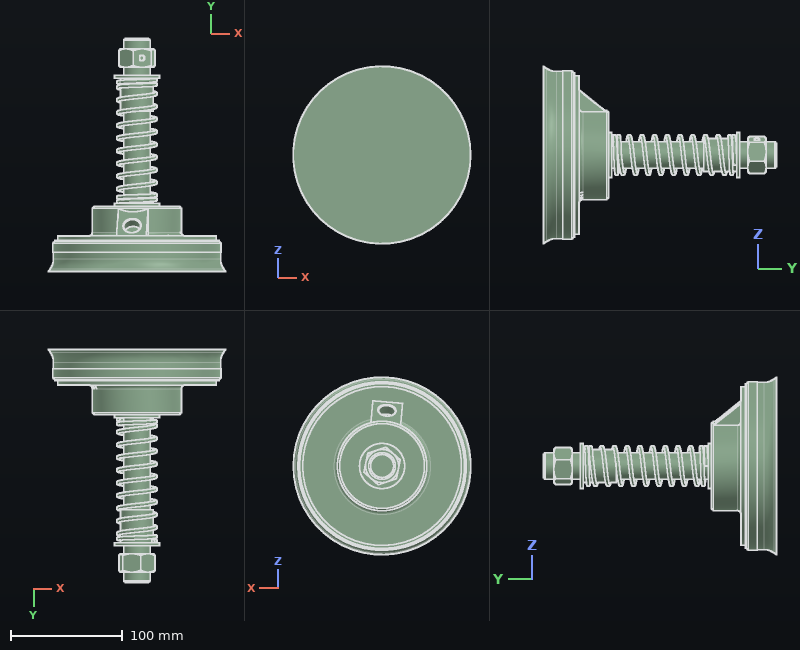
import cadquery as cq
import math


lip_radius = 79.5
lip_edge_radius = 77.8
lip_edge_height = 2.5
waist_radius = 150.0 / 2
waist_start = 11.7
rim_radius = 150.8 / 2
rim_start = 17.3
rim_end = 25.5
disc_top = 28.0
rim_chamfer = 1.7
plate_radius = 142.0 / 2
plate_top = 32.0

hub_radius = 80.0 / 2
hub_top = 58.5
hub_chamfer = 2.0
hub_fillet = 3.1

port_turn = 5
boss_width = 26.7
boss_foot_reach = 57.3
boss_edge_height = 56.3
boss_edge_reach = math.sqrt(hub_radius**2 - (boss_width / 2) ** 2)
port_height = 41.0
port_diameter = 15.0
port_mouth_diameter = 16.3
port_depth = 10.5

stem_radius = 24.0 / 2
stem_top = 208.5
stem_chamfer = 1.7
washer_radius = 40.5 / 2
washer_thickness = 2.7
lower_washer_top = hub_top + washer_thickness
upper_washer_bottom = 172.9
sleeve_radius = 29.6 / 2
sleeve_bottom = 143.2

nut_flats = 29.6
nut_corner_radius = nut_flats / math.sqrt(3)
nut_bottom = 182.7
nut_height = 16.5
nut_face_angle = -71.5
nut_chamfer_slope = math.tan(math.radians(35))
nut_hole_diameter = 5.0

spring_radius = 16.7
wire_radius = 1.56
active_turns = 8.6
lower_end_turns = 1.5
upper_end_turns = 1.5
end_pitch = 3.8
end_overlap = 0.2
points_per_turn = 12
spring_bottom = lower_washer_top + wire_radius - end_overlap
spring_top = upper_washer_bottom - wire_radius + end_overlap
active_bottom = spring_bottom + lower_end_turns * end_pitch
active_top = spring_top - upper_end_turns * end_pitch


def cylinder(radius, bottom, top):
    return cq.Workplane("XY").workplane(offset=bottom).circle(radius).extrude(top - bottom)


def make_disc():
    """Sealing disc with a flared lip, turned around the stem axis."""
    flare_middle = (75.5, 6.9)
    outline = (
        cq.Workplane("XZ")
        .lineTo(lip_radius, 0)
        .lineTo(lip_edge_radius, lip_edge_height)
        .threePointArc(flare_middle, (waist_radius, waist_start))
        .lineTo(waist_radius, rim_start)
        .lineTo(rim_radius, rim_start)
        .lineTo(rim_radius, rim_end)
        .lineTo(rim_radius - rim_chamfer, rim_end + rim_chamfer)
        .lineTo(rim_radius - rim_chamfer, disc_top)
        .lineTo(plate_radius, disc_top)
        .lineTo(plate_radius, plate_top)
        .lineTo(0, plate_top)
        .close()
    )
    return outline.revolve(360, (0, 0, 0), (0, 1, 0))


def make_hub():
    """Chamfered hub with a concave fillet at its foot."""
    hub = cylinder(hub_radius, plate_top, hub_top).faces(">Z").chamfer(hub_chamfer)
    foot = (
        cq.Workplane("XZ")
        .moveTo(0, plate_top)
        .lineTo(hub_radius + hub_fillet, plate_top)
        .radiusArc((hub_radius, plate_top + hub_fillet), hub_fillet)
        .lineTo(0, plate_top + hub_fillet)
        .close()
        .revolve(360, (0, 0, 0), (0, 1, 0))
    )
    return hub.union(foot)


def add_port(body):
    """Add the sloped boss and its blind port, with a countersunk mouth."""
    boss = (
        cq.Workplane("YZ")
        .moveTo(0, plate_top)
        .lineTo(-boss_foot_reach, plate_top)
        .lineTo(-boss_edge_reach, boss_edge_height)
        .lineTo(0, boss_edge_height)
        .close()
        .extrude(boss_width / 2, both=True)
    )
    run = boss_foot_reach - boss_edge_reach
    rise = boss_edge_height - plate_top
    port_reach = boss_foot_reach - (port_height - plate_top) * run / rise
    mouth = cq.Plane((0, -port_reach, port_height), (1, 0, 0), (0, -rise, run))
    port = cq.Workplane(mouth).circle(port_diameter / 2).extrude(-port_depth)
    countersink_depth = (port_mouth_diameter - port_diameter) / 2
    countersink = (
        cq.Workplane(mouth)
        .circle(port_mouth_diameter / 2)
        .workplane(offset=-countersink_depth)
        .circle(port_diameter / 2)
        .loft()
    )
    hole = port.union(countersink)

    def turned(shape):
        return shape.rotate((0, 0, 0), (0, 0, 1), -port_turn)

    return body.union(turned(boss)).cut(turned(hole))


def make_stem():
    """Stem with its sleeve and the two spring washers."""
    stem = cylinder(stem_radius, plate_top, stem_top).faces(">Z").chamfer(stem_chamfer)
    lower_washer = cylinder(washer_radius, hub_top, lower_washer_top)
    upper_washer = cylinder(washer_radius, upper_washer_bottom, upper_washer_bottom + washer_thickness)
    sleeve = cylinder(sleeve_radius, sleeve_bottom, upper_washer_bottom)
    return stem.union(lower_washer).union(upper_washer).union(sleeve)


def make_nut():
    """Hexagon nut, cone-chamfered at both ends, with a hole down to the stem in one face."""
    corner_drop = (nut_corner_radius - nut_flats / 2) * nut_chamfer_slope
    chamfer_envelope = (
        cq.Workplane("XZ")
        .lineTo(nut_flats / 2, 0)
        .lineTo(nut_corner_radius, corner_drop)
        .lineTo(nut_corner_radius, nut_height - corner_drop)
        .lineTo(nut_flats / 2, nut_height)
        .lineTo(0, nut_height)
        .close()
        .revolve(360, (0, 0, 0), (0, 1, 0))
    )
    hexagon = (
        cq.Workplane("XY")
        .polygon(6, 2 * nut_corner_radius)
        .extrude(nut_height)
        .rotate((0, 0, 0), (0, 0, 1), 30)
    )
    hole = (
        cq.Workplane("YZ")
        .workplane(offset=stem_radius)
        .center(0, nut_height / 2)
        .circle(nut_hole_diameter / 2)
        .extrude(nut_flats / 2 - stem_radius)
    )
    bore = cylinder(stem_radius, 0, nut_height)
    nut = hexagon.intersect(chamfer_envelope).cut(bore).cut(hole)
    return nut.rotate((0, 0, 0), (0, 0, 1), nut_face_angle).translate((0, 0, nut_bottom))


def make_spring():
    """Right-handed wire spring whose end coils are wound closer than its active coils."""
    total_turns = lower_end_turns + active_turns + upper_end_turns
    active_pitch = (active_top - active_bottom) / active_turns
    points = []
    for step in range(round(total_turns * points_per_turn) + 1):
        turn = step / points_per_turn - lower_end_turns
        active_turn = min(max(turn, 0), active_turns)
        height = active_bottom + active_turn * active_pitch + (turn - active_turn) * end_pitch
        angle = 2 * math.pi * turn
        points.append(cq.Vector(spring_radius * math.cos(angle), spring_radius * math.sin(angle), height))
    path = cq.Edge.makeSpline(points)
    start = cq.Plane(path.startPoint(), (0, 0, 1), path.tangentAt(0))
    return cq.Workplane(start).circle(wire_radius).sweep(cq.Workplane(path), isFrenet=True)


part = add_port(make_disc().union(make_hub()))
part = part.union(make_stem()).union(make_nut())
part = part.union(make_spring())

result = part.rotate((0, 0, 0), (1, 0, 0), -90)